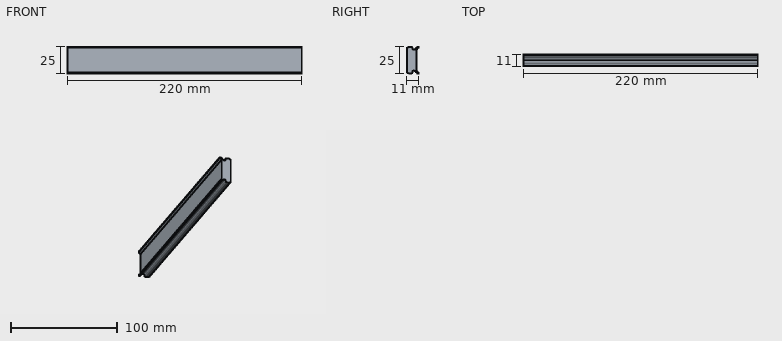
import cadquery as cq
import math

length = 220.0
height = 25.0
depth = 11.0
top = height / 2
front = -depth / 2
rear = depth / 2

flange_thickness = 5.3
crown_width = 2.6
crown_angle = 45.0
flange_rear_radius = 1.3

groove_depth = 2.6
groove_wall_radius = 1.0

body_depth = 9.2
lip_angle = 45.0
lip_tip_width = 1.0
lip_tip_height = 0.7

crown_radius = crown_width / math.sin(math.radians(crown_angle))
crown_edge = front + crown_width


def crown_point(angle):
    """Point on the crown arc, with the angle measured from the top of the arc."""
    turn = math.radians(angle)
    return (crown_edge - crown_radius * math.sin(turn), top - crown_radius * (1 - math.cos(turn)))


groove_front = front + flange_thickness
groove_floor = top - groove_depth
lip_foot = groove_front + groove_wall_radius
lip_crest = rear - lip_tip_width
lip_slope = math.tan(math.radians(lip_angle))
body_rear = front + body_depth
lip_under = top - lip_tip_height
lip_root = lip_under - (rear - body_rear) * lip_slope

lip_bend = lip_crest - groove_depth / lip_slope
lip_radius = (lip_bend - lip_foot) / math.tan(math.radians(lip_angle / 2))
lip_start = (
    lip_foot + lip_radius * math.sin(math.radians(lip_angle)),
    groove_floor + lip_radius * (1 - math.cos(math.radians(lip_angle))),
)

upper_section = (
    cq.Workplane("YZ")
    .moveTo(front, 0)
    .lineTo(*crown_point(crown_angle))
    .threePointArc(crown_point(crown_angle / 2), (crown_edge, top))
    .lineTo(groove_front - flange_rear_radius, top)
    .radiusArc((groove_front, top - flange_rear_radius), flange_rear_radius)
    .lineTo(groove_front, groove_floor + groove_wall_radius)
    .radiusArc((lip_foot, groove_floor), -groove_wall_radius)
    .radiusArc(lip_start, -lip_radius)
    .lineTo(lip_crest, top)
    .lineTo(rear, top)
    .lineTo(rear, lip_under)
    .lineTo(body_rear, lip_root)
    .lineTo(body_rear, 0)
    .close()
)
upper_half = upper_section.extrude(length)

result = upper_half.union(upper_half.mirror("XY")).clean()